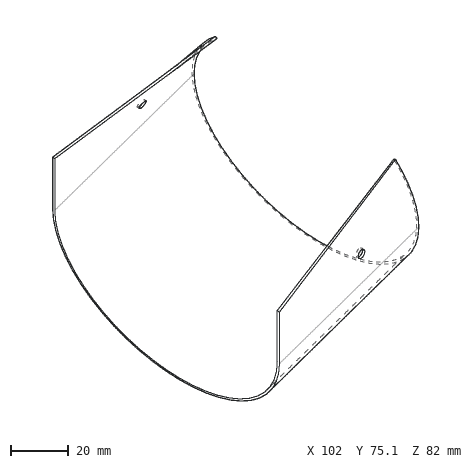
import cadquery as cq
import math

outer_radius = 51.0
wall = 1.0
length = 75.14
flank_height = 31.0

hole_diameter = 3.5
hole_from_rear = 29.3
hole_height = 14.5

inner_radius = outer_radius - wall
end_angle = math.asin(flank_height / outer_radius)
hole_y = length - hole_from_rear


def on_circle(radius, angle):
    """Point (X, Z) on a circle about the axis, angle measured up from +X."""
    return (radius * math.cos(angle), radius * math.sin(angle))


def xz_plane(y):
    """Plane normal to Y with local axes X and Z."""
    return cq.Plane(origin=(0, y, 0), xDir=(1, 0, 0), normal=(0, -1, 0))


def half_shell():
    """Half-cylinder trough below the axis."""
    return (
        cq.Workplane(xz_plane(length))
        .moveTo(-outer_radius, 0)
        .threePointArc((0, -outer_radius), (outer_radius, 0))
        .lineTo(inner_radius, 0)
        .threePointArc((0, -inner_radius), (-inner_radius, 0))
        .close()
        .extrude(length)
    )


def front_section():
    """Straight, vertical wall section at the front end."""
    return (
        cq.Workplane(xz_plane(0))
        .moveTo(inner_radius, 0)
        .lineTo(outer_radius, 0)
        .lineTo(outer_radius, flank_height)
        .lineTo(inner_radius, flank_height)
        .close()
        .val()
    )


def rear_section():
    """Wall section at the rear end, curling inward on the cylinder radii."""
    return (
        cq.Workplane(xz_plane(length))
        .moveTo(inner_radius, 0)
        .lineTo(outer_radius, 0)
        .threePointArc(on_circle(outer_radius, end_angle / 2), on_circle(outer_radius, end_angle))
        .lineTo(*on_circle(inner_radius, end_angle))
        .threePointArc(on_circle(inner_radius, end_angle / 2), (inner_radius, 0))
        .close()
        .val()
    )


def right_flank():
    """Wall above the axis on +X, blending from straight to curved along Y."""
    flank = cq.Solid.makeLoft([front_section(), rear_section()], True)
    return cq.Workplane(flank)


def cross_hole():
    """Cutter for the hole that runs along X through both flanks."""
    return (
        cq.Workplane("YZ")
        .center(hole_y, hole_height)
        .circle(hole_diameter / 2)
        .extrude(outer_radius, both=True)
    )


flank = right_flank()
shell = half_shell().union(flank).union(flank.mirror("YZ"))
result = shell.cut(cross_hole())